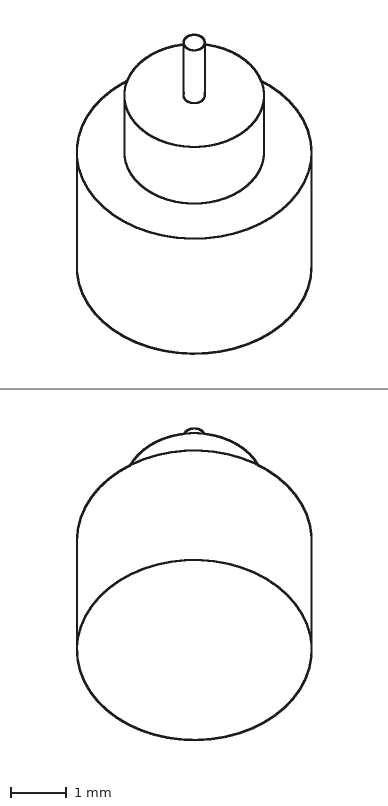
import cadquery as cq

body_diameter = 4.2
body_height = 3.05
collar_diameter = 2.5
collar_height = 1.5
insulator_diameter = 1.95
pin_diameter = 0.38
pin_length = 1.4

collar_top = body_height + collar_height
pin_top = collar_top + pin_length


def cylinder(diameter, bottom, top):
    """Cylinder about the Z axis between two levels."""
    return cq.Workplane("XY").workplane(offset=bottom).circle(diameter / 2).extrude(top - bottom)


body = cylinder(body_diameter, 0, body_height)
collar = cylinder(collar_diameter, body_height, collar_top)
insulator = cylinder(insulator_diameter, body_height, collar_top)
pin = cylinder(pin_diameter, collar_top, pin_top)

result = body.union(collar)
result = result.union(insulator, clean=False)
result = result.union(pin, clean=False)